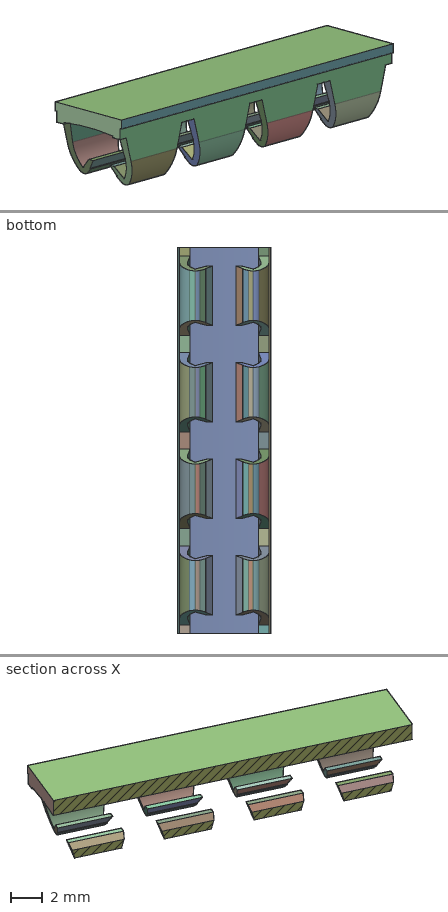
import cadquery as cq
import math

LENGTH = 24.4
CAP_HALF_WIDTH = 2.95
HEIGHT = 4.8
CAP_DEPTH = 0.6
BODY_HALF_WIDTH = 2.82

WEB_CENTRE_DEPTH = 1.08
WEB_SIDE_DEPTH = 1.2

LEG_TOP_HALF_GAP = 2.15
CURL_CENTRE_DEPTH = 2.95
OUTER_CURL_RADIUS = 2.65
INNER_CURL_RADIUS = 2.32

FOLD_DEPTH = 4.37
FOLD_OUTER_DEPTH = 4.65
FOLD_INNER_DEPTH = 4.72
HOOK_THICKNESS = 0.46
TIP_DEPTH = 3.66
TIP_HALF_GAP = 0.74
HOOK_STEP_DEPTH = 4.34
HOOK_STEP = 0.04

CLIP_COUNT = 4
CLIP_PITCH = LENGTH / CLIP_COUNT
CLIP_TOP_LENGTH = 5.0
CLIP_TOP_DEPTH = 1.32
CLIP_DRAFT = math.radians(15)


def extrude_along_strip(profile):
    """Extrude an XZ profile over the full length of the strip."""
    return profile.extrude(LENGTH / 2, both=True)


def make_cap():
    """Flat top plate whose long edges overhang the legs."""
    outline = cq.Workplane("XY").rect(2 * CAP_HALF_WIDTH, LENGTH)
    return outline.extrude(-CAP_DEPTH)


def make_web():
    """Solid block between cap and clips, with an arched underside."""
    profile = (
        cq.Workplane("XZ")
        .moveTo(-BODY_HALF_WIDTH, -CAP_DEPTH)
        .lineTo(BODY_HALF_WIDTH, -CAP_DEPTH)
        .lineTo(BODY_HALF_WIDTH, -WEB_SIDE_DEPTH)
        .lineTo(LEG_TOP_HALF_GAP, -WEB_SIDE_DEPTH)
        .threePointArc((0, -WEB_CENTRE_DEPTH), (-LEG_TOP_HALF_GAP, -WEB_SIDE_DEPTH))
        .lineTo(-BODY_HALF_WIDTH, -WEB_SIDE_DEPTH)
        .close()
    )
    return extrude_along_strip(profile)


def curl_run(radius, depth):
    """Distance along X from the centre of a curl arc to the arc at the given depth."""
    return math.sqrt(radius**2 - (depth - CURL_CENTRE_DEPTH) ** 2)


def outer_curl_point(depth):
    """Point on the outer curl arc, which is tangent to the upright outer face."""
    centre_x = BODY_HALF_WIDTH - OUTER_CURL_RADIUS
    return (centre_x + curl_run(OUTER_CURL_RADIUS, depth), -depth)


def inner_curl_point(angle):
    """Point on the inner curl arc, centred on X = 0, with the angle measured up from +X."""
    return (
        INNER_CURL_RADIUS * math.cos(angle),
        -CURL_CENTRE_DEPTH + INNER_CURL_RADIUS * math.sin(angle),
    )


def make_leg():
    """Full-length leg on the +X side, curling in to a hook folded back up."""
    rise = CURL_CENTRE_DEPTH - WEB_SIDE_DEPTH
    reach = math.hypot(LEG_TOP_HALF_GAP, rise)
    tangent_angle = math.atan2(rise, LEG_TOP_HALF_GAP) - math.acos(INNER_CURL_RADIUS / reach)
    fold_angle = -math.asin((FOLD_DEPTH - CURL_CENTRE_DEPTH) / INNER_CURL_RADIUS)
    fold_x = curl_run(INNER_CURL_RADIUS, FOLD_DEPTH)

    back_offset = HOOK_THICKNESS * math.sqrt(2)
    step_x = fold_x - back_offset + HOOK_STEP_DEPTH - FOLD_DEPTH
    round_inner_x = fold_x - back_offset + FOLD_INNER_DEPTH - FOLD_DEPTH
    profile = (
        cq.Workplane("XZ")
        .moveTo(BODY_HALF_WIDTH, -WEB_SIDE_DEPTH)
        .lineTo(BODY_HALF_WIDTH, -CURL_CENTRE_DEPTH)
        .threePointArc(
            outer_curl_point((CURL_CENTRE_DEPTH + FOLD_OUTER_DEPTH) / 2),
            outer_curl_point(FOLD_OUTER_DEPTH),
        )
        .threePointArc((fold_x, -HEIGHT), (round_inner_x, -FOLD_INNER_DEPTH))
        .lineTo(step_x, -HOOK_STEP_DEPTH)
        .lineTo(step_x + HOOK_STEP, -HOOK_STEP_DEPTH + HOOK_STEP)
        .lineTo(TIP_HALF_GAP, -TIP_DEPTH)
        .lineTo(fold_x - FOLD_DEPTH + TIP_DEPTH, -TIP_DEPTH)
        .lineTo(fold_x, -FOLD_DEPTH)
        .threePointArc(
            inner_curl_point((fold_angle + tangent_angle) / 2),
            inner_curl_point(tangent_angle),
        )
        .lineTo(LEG_TOP_HALF_GAP, -WEB_SIDE_DEPTH)
        .close()
    )
    return extrude_along_strip(profile)


def make_clip_outline():
    """Side outline of the clips: a continuous rail above tapering trapezoids."""
    outline = cq.Workplane("YZ").rect(LENGTH, 2 * CLIP_TOP_DEPTH).extrude(CAP_HALF_WIDTH, both=True)
    half_top = CLIP_TOP_LENGTH / 2
    half_bottom = half_top - (HEIGHT - CLIP_TOP_DEPTH) * math.tan(CLIP_DRAFT)
    for index in range(CLIP_COUNT):
        centre = (index - (CLIP_COUNT - 1) / 2) * CLIP_PITCH
        trapezoid = (
            cq.Workplane("YZ")
            .moveTo(centre - half_top, -CLIP_TOP_DEPTH)
            .lineTo(centre + half_top, -CLIP_TOP_DEPTH)
            .lineTo(centre + half_bottom, -HEIGHT)
            .lineTo(centre - half_bottom, -HEIGHT)
            .close()
            .extrude(CAP_HALF_WIDTH, both=True)
        )
        outline = outline.union(trapezoid)
    return outline


right_leg = make_leg()
legs = right_leg.union(right_leg.mirror("YZ")).intersect(make_clip_outline())
result = make_cap().union(make_web()).union(legs).clean()